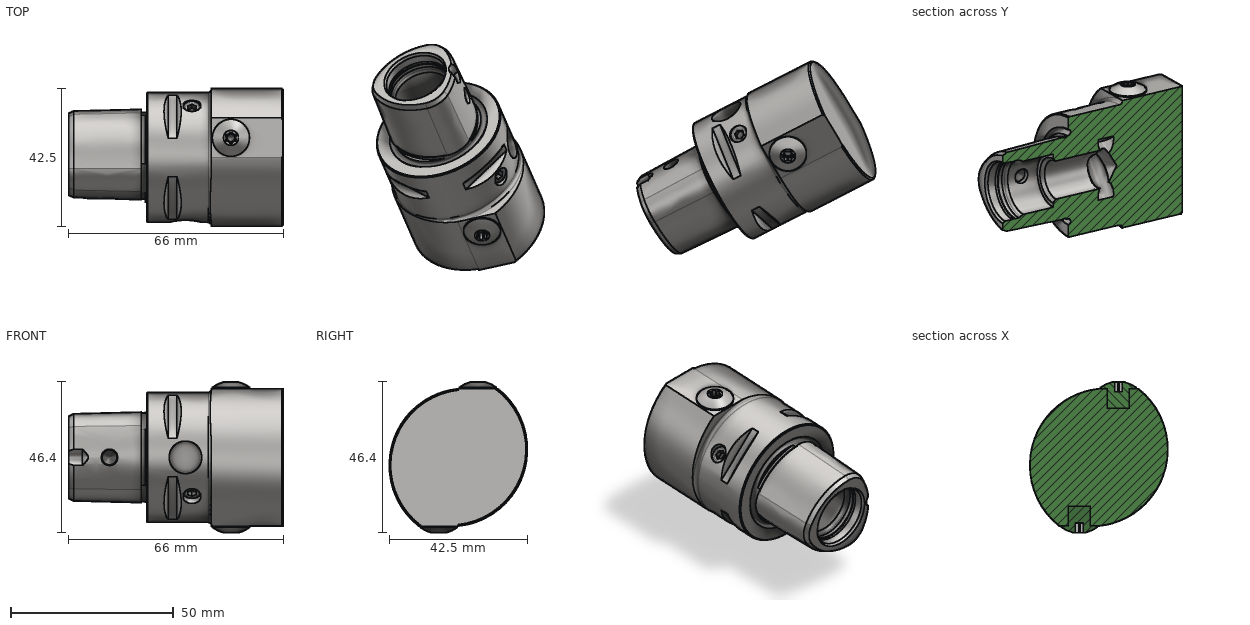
import cadquery as cq
import math


LOBE_OFFSET = 6.65
LOBE_RADIUS = 8.2
TAPER_PER_SIDE = 1 / 40
TIP_BEVEL_LENGTH = 1.6
TIP_BEVEL_DROP = 0.8
TAPER_END = 22.4
NECK_STEP = 0.2
COLLAR_START = 23.55
COLLAR_DIAMETER = 27.7

FLANGE_FACE = 24.0
FLANGE_END = 42.9
FLANGE_DIAMETER = 40.0
FLANGE_CHAMFER = 0.3
RELIEF_DIAMETER = 31.4
RELIEF_RADIUS = (RELIEF_DIAMETER - COLLAR_DIAMETER) / 4

SLOT_X = 32.0
SLOT_FLOOR_WIDTH = 2.65
SLOT_FLOOR_DISTANCE = 17.7
SLOT_FLANK_ANGLE = 30
SLOT_COUNT = 4

POCKET_X = 36.0
POCKET_DIAMETER = 10.0
POCKET_FLOOR = 14.8

HEAD_START = 43.95
HEAD_END = 66
HEAD_RADIUS = 23.7
HEAD_OFFSET = 2.45
HEAD_CHAMFER = 0.45
HEAD_FLAT = math.sqrt(HEAD_RADIUS**2 - HEAD_OFFSET**2) - HEAD_OFFSET

MOUTH_DIAMETER = 20.0
MOUTH_DEPTH = 0.85
ENTRY_DIAMETER = 19.0
ENTRY_DEPTH = 3.55
LIP_DIAMETER = 18.5
LIP_START = 4.2
GROOVE_START = 4.4
GROOVE_END = 5.95
GROOVE_DIAMETER = 19.0
GROOVE_TAPER_END = 6.6
BORE_DIAMETER = 17.4
BORE_START = 7.6
BORE_DEPTH = 18.5
STEP_DIAMETER = 14.65
STEP_TAPER = 1.05
DRILL_DIAMETER = 12.5
DRILL_DEPTH = 38.1
DRILL_POINT_ANGLE = 118

NOTCH_DIAMETER = 5.5
NOTCH_Y = -13.6
NOTCH_DEPTH = 4.3
SHANK_HOLE_X = 12.6
SHANK_HOLE_DIAMETER = 5.0
SHANK_HOLE_FAR_DIAMETER = 4.6
SHANK_HOLE_FLOOR = 10.2

SET_SCREW_X = 37.95
SET_SCREW_ANGLE = 53
SET_SCREW_OFFSET = 5.5
SET_SCREW_DIAMETER = 5.5
SET_SCREW_TOP = 17.95
SET_SCREW_LENGTH = 7.9
SET_SCREW_FACE_DIAMETER = 4.2
SET_SCREW_BEVEL = 0.1
SET_SCREW_HEX = 2.6
SET_SCREW_HEX_DEPTH = 2
SET_HOLE_END = -7.9

DOME_X = 49.95
DOME_Y = 6.0
DOME_DIAMETER = 11.4
DOME_RIM_HEIGHT = 0.4
DOMES_HEIGHT = 46.4
DOME_TOP = DOMES_HEIGHT / 2
DOME_TOP_DIAMETER = 4.6
DOME_SPHERE_RADIUS = 9.25
DOME_SHANK_DIAMETER = 7.0
DOME_SHANK_LENGTH = 5.95
STAR_CORE_DIAMETER = 2.8
STAR_POINT_DIAMETER = 2.4
STAR_LOBE_DIAMETER = 1.0
STAR_LOBE_CIRCLE = 2.5
STAR_LOBES = 6
STAR_DEPTH = 3.0

SCREW_TURNS = (0, 180)


def turn(body, degrees):
    """Turn a body around the tool axis."""
    return body.rotate((0, 0, 0), (1, 0, 0), degrees)


def polar(radius, degrees):
    """Point in the YZ plane at an angle measured from +Y towards +Z."""
    angle = math.radians(degrees)
    return (radius * math.cos(angle), radius * math.sin(angle))


def shift(point, radius, degrees):
    step = polar(radius, degrees)
    return (point[0] + step[0], point[1] + step[1])


def revolve_about_x(points):
    """Revolve an (x, radius) outline around the tool axis."""
    return cq.Workplane("XY").polyline(points).close().revolve(360, (0, 0, 0), (1, 0, 0))


def disc(diameter, start, end):
    return cq.Workplane("YZ").workplane(offset=start).circle(diameter / 2).extrude(end - start)


def drill_point_length(radius):
    return radius / math.tan(math.radians(DRILL_POINT_ANGLE / 2))


def polygon_outline(plane, inset):
    """Draw the three-lobe outline, moved inward by an inset, as lobe and flank arcs."""
    lobe = LOBE_RADIUS - inset
    flank = lobe + LOBE_OFFSET * math.sqrt(3)
    outline = plane.moveTo(*shift((LOBE_OFFSET, 0), lobe, -30))
    for angle in (0, 120, 240):
        center = polar(LOBE_OFFSET, angle)
        opposite = polar(LOBE_OFFSET, angle + 240)
        next_center = polar(LOBE_OFFSET, angle + 120)
        outline = outline.threePointArc(shift(center, lobe, angle), shift(center, lobe, angle + 30))
        outline = outline.threePointArc(
            shift(opposite, flank, angle + 60), shift(next_center, lobe, angle + 90)
        )
    return outline.close()


def shank():
    tip_inset = (TAPER_END - TIP_BEVEL_LENGTH) * TAPER_PER_SIDE
    tip = polygon_outline(cq.Workplane("YZ"), tip_inset + TIP_BEVEL_DROP)
    tip = polygon_outline(tip.workplane(offset=TIP_BEVEL_LENGTH), tip_inset).loft(ruled=True)
    taper = polygon_outline(cq.Workplane("YZ").workplane(offset=TIP_BEVEL_LENGTH), tip_inset)
    taper = polygon_outline(taper.workplane(offset=TAPER_END - TIP_BEVEL_LENGTH), 0).loft(ruled=True)
    neck_length = FLANGE_FACE - TAPER_END
    neck = polygon_outline(cq.Workplane("YZ").workplane(offset=TAPER_END), NECK_STEP).extrude(neck_length)
    neck = neck.intersect(disc(COLLAR_DIAMETER, TAPER_END, FLANGE_FACE))
    collar = disc(COLLAR_DIAMETER, COLLAR_START, FLANGE_FACE)
    return tip.union(taper).union(neck).union(collar)


def flange_relief():
    """Half-round ring groove in the flange face around the collar."""
    inner = COLLAR_DIAMETER / 2
    deepest = (FLANGE_FACE + RELIEF_RADIUS, inner + RELIEF_RADIUS)
    section = cq.Workplane("XY").moveTo(FLANGE_FACE, inner)
    section = section.threePointArc(deepest, (FLANGE_FACE, RELIEF_DIAMETER / 2)).close()
    return section.revolve(360, (0, 0, 0), (1, 0, 0))


def gripper_slots():
    depth = FLANGE_DIAMETER / 2 - SLOT_FLOOR_DISTANCE
    half_floor = SLOT_FLOOR_WIDTH / 2
    half_top = half_floor + depth * math.tan(math.radians(SLOT_FLANK_ANGLE))
    slot = (
        cq.Workplane("XZ")
        .moveTo(SLOT_X - half_floor, SLOT_FLOOR_DISTANCE)
        .lineTo(SLOT_X + half_floor, SLOT_FLOOR_DISTANCE)
        .lineTo(SLOT_X + half_top, FLANGE_DIAMETER / 2)
        .lineTo(SLOT_X - half_top, FLANGE_DIAMETER / 2)
        .close()
        .extrude(FLANGE_DIAMETER / 2, both=True)
    )
    pitch = 360 / SLOT_COUNT
    return [turn(slot, pitch * (index + 0.5)) for index in range(SLOT_COUNT)]


def flange():
    body = disc(FLANGE_DIAMETER, FLANGE_FACE, HEAD_START)
    body = body.faces("<X").chamfer(FLANGE_CHAMFER).cut(flange_relief())
    for slot in gripper_slots():
        body = body.cut(slot)
    pocket = cq.Workplane("XZ", origin=(POCKET_X, -POCKET_FLOOR, 0))
    return body.cut(pocket.circle(POCKET_DIAMETER / 2).extrude(FLANGE_DIAMETER))


def head_half(start):
    """The +Y half of the head, whose arc centre lies towards -Y+Z."""
    length = HEAD_END - start
    plane = cq.Workplane("YZ", origin=(start, -HEAD_OFFSET, HEAD_OFFSET))
    cylinder = plane.circle(HEAD_RADIUS).extrude(length).faces(">X").chamfer(HEAD_CHAMFER)
    block = cq.Workplane("XY", origin=(start, 0, 0)).box(
        length, HEAD_RADIUS, 2 * HEAD_FLAT, centered=(False, False, True)
    )
    return cylinder.intersect(block)


def head(start):
    return head_half(start).union(turn(head_half(start), 180))


def root_fillet():
    """Concave ring that joins the flange to the head, trimmed to the head outline."""
    radius = HEAD_START - FLANGE_END
    base = FLANGE_DIAMETER / 2
    bulge = polar(radius, 45)
    ring = (
        cq.Workplane("XY")
        .moveTo(FLANGE_END, 0)
        .lineTo(FLANGE_END, base)
        .threePointArc((FLANGE_END + bulge[0], base + radius - bulge[1]), (HEAD_START, base + radius))
        .lineTo(HEAD_START, 0)
        .close()
        .revolve(360, (0, 0, 0), (1, 0, 0))
    )
    return ring.intersect(head(FLANGE_END))


def central_bore():
    drill_radius = DRILL_DIAMETER / 2
    return revolve_about_x([
        (0, 0),
        (0, MOUTH_DIAMETER / 2),
        (MOUTH_DEPTH, ENTRY_DIAMETER / 2),
        (ENTRY_DEPTH, ENTRY_DIAMETER / 2),
        (LIP_START, LIP_DIAMETER / 2),
        (GROOVE_START, LIP_DIAMETER / 2),
        (GROOVE_START, GROOVE_DIAMETER / 2),
        (GROOVE_END, GROOVE_DIAMETER / 2),
        (GROOVE_TAPER_END, LIP_DIAMETER / 2),
        (BORE_START, BORE_DIAMETER / 2),
        (BORE_DEPTH, BORE_DIAMETER / 2),
        (BORE_DEPTH, STEP_DIAMETER / 2),
        (BORE_DEPTH + STEP_TAPER, drill_radius),
        (DRILL_DEPTH, drill_radius),
        (DRILL_DEPTH + drill_point_length(drill_radius), 0),
    ])


def key_notch():
    radius = NOTCH_DIAMETER / 2
    notch = revolve_about_x([(0, 0), (0, radius), (NOTCH_DEPTH, radius), (NOTCH_DEPTH + radius, 0)])
    return turn(notch, 180).translate((0, NOTCH_Y, 0))


def shank_hole():
    """Cross hole, wider on the -Y side of the bore and ending in a drill point in the +Y wall."""
    entry_radius = SHANK_HOLE_DIAMETER / 2
    far_radius = SHANK_HOLE_FAR_DIAMETER / 2
    tip = SHANK_HOLE_FLOOR + drill_point_length(far_radius)
    profile = [
        (0, tip),
        (far_radius, SHANK_HOLE_FLOOR),
        (far_radius, 0),
        (entry_radius, 0),
        (entry_radius, -FLANGE_DIAMETER / 2),
        (0, -FLANGE_DIAMETER / 2),
    ]
    hole = cq.Workplane("XY").polyline(profile).close().revolve(360, (0, 0, 0), (0, 1, 0))
    return hole.translate((SHANK_HOLE_X, 0, 0))


def aim_set_screw(body):
    """Move a body built along +Z onto the set screw axis that opens at +Y+Z."""
    body = body.translate((SET_SCREW_X, SET_SCREW_OFFSET, 0))
    return turn(body, SET_SCREW_ANGLE - 90)


def set_screw_hole():
    hole = cq.Workplane("XY").workplane(offset=SET_HOLE_END)
    hole = hole.circle(SET_SCREW_DIAMETER / 2).extrude(FLANGE_DIAMETER / 2 - SET_HOLE_END)
    return aim_set_screw(hole)


def set_screw():
    radius = SET_SCREW_DIAMETER / 2
    base = SET_SCREW_TOP - SET_SCREW_LENGTH
    profile = [
        (0, base),
        (radius, base),
        (radius, SET_SCREW_TOP - SET_SCREW_BEVEL),
        (SET_SCREW_FACE_DIAMETER / 2, SET_SCREW_TOP),
        (0, SET_SCREW_TOP),
    ]
    body = cq.Workplane("XZ").polyline(profile).close().revolve(360, (0, 0, 0), (0, 1, 0))
    socket = cq.Workplane("XY").workplane(offset=SET_SCREW_TOP - SET_SCREW_HEX_DEPTH)
    socket = socket.polygon(6, SET_SCREW_HEX, circumscribed=True).extrude(SET_SCREW_HEX_DEPTH)
    return aim_set_screw(body.cut(socket))


def dome_shank():
    shank_body = cq.Workplane("XY", origin=(DOME_X, DOME_Y, HEAD_FLAT))
    return shank_body.circle(DOME_SHANK_DIAMETER / 2).extrude(-DOME_SHANK_LENGTH)


def star_socket():
    """Star recess with a conical bottom."""
    floor = DOME_TOP - STAR_DEPTH
    point_radius = STAR_POINT_DIAMETER / 2
    point_depth = drill_point_length(point_radius)
    point = cq.Workplane(cq.Solid.makeCone(0, point_radius, point_depth))
    point = point.translate((0, 0, floor - point_depth))
    plane = cq.Workplane("XY").workplane(offset=floor)
    core = plane.circle(STAR_CORE_DIAMETER / 2).extrude(STAR_DEPTH)
    lobes = plane.polarArray(STAR_LOBE_CIRCLE / 2, 90, 360, STAR_LOBES)
    lobes = lobes.circle(STAR_LOBE_DIAMETER / 2).extrude(STAR_DEPTH)
    return core.union(lobes).union(point)


def domed_screw():
    rim_radius = DOME_DIAMETER / 2
    top_radius = DOME_TOP_DIAMETER / 2
    rim_top = HEAD_FLAT + DOME_RIM_HEIGHT
    sphere_center = DOME_TOP - math.sqrt(DOME_SPHERE_RADIUS**2 - top_radius**2)
    mid_radius = (rim_radius + top_radius) / 2
    mid_height = sphere_center + math.sqrt(DOME_SPHERE_RADIUS**2 - mid_radius**2)
    cap = (
        cq.Workplane("XZ")
        .moveTo(0, HEAD_FLAT)
        .lineTo(rim_radius, HEAD_FLAT)
        .lineTo(rim_radius, rim_top)
        .threePointArc((mid_radius, mid_height), (top_radius, DOME_TOP))
        .lineTo(0, DOME_TOP)
        .close()
        .revolve(360, (0, 0, 0), (0, 1, 0))
    )
    body = cap.translate((DOME_X, DOME_Y, 0)).union(dome_shank())
    return body.cut(star_socket().translate((DOME_X, DOME_Y, 0)))


def housing():
    body = shank().union(flange()).union(root_fillet()).union(head(HEAD_START))
    body = body.cut(central_bore()).cut(key_notch()).cut(shank_hole())
    for degrees in SCREW_TURNS:
        body = body.cut(turn(set_screw_hole(), degrees)).cut(turn(dome_shank(), degrees))
    return body


set_screws = [turn(set_screw(), degrees).val() for degrees in SCREW_TURNS]
domed_screws = [turn(domed_screw(), degrees).val() for degrees in SCREW_TURNS]
result = cq.Compound.makeCompound([housing().val(), *set_screws, *domed_screws])